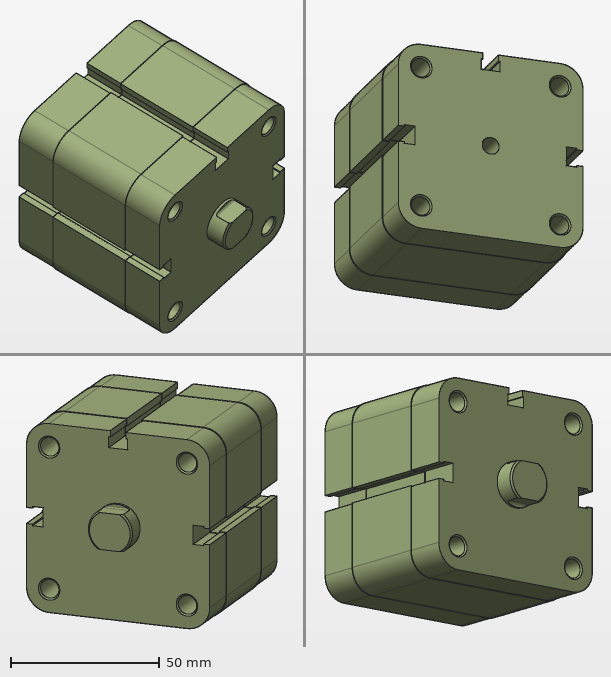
import cadquery as cq

CAP_LENGTH = 14.8
BARREL_LENGTH = 31.45
ROD_LENGTH = 7.5

BARREL_SIZE = 67.0
CORNER_RADIUS = 8.5
CAP_INSET = 0.225

SLOT_MOUTH_WIDTH = 5.2
SLOT_WIDTH = 6.3
SLOT_LIP_DEPTH = 2.7
SLOT_DEPTH = 6.0
SLOT_ANGLES = (0, 90, -90)

BOLT_SPACING = 50.0
BOLT_HOLE_DIAMETER = 6.65
BOLT_HOLE_CHAMFER = 0.55
PORT_DIAMETER = 6.0

ROD_DIAMETER = 16.0
ROD_CHAMFER = 0.6
FLAT_SPACING = 13.0
FLAT_START = 1.1
FLAT_ROOT_RADIUS = 0.5

BARREL_START = CAP_LENGTH
BARREL_END = BARREL_START + BARREL_LENGTH
CAP_END = BARREL_END + CAP_LENGTH


def t_slot(start, length, inset):
    """Cutter for the +Z T-slot; an inset moves each slot wall into the material."""
    mouth_half = SLOT_MOUTH_WIDTH / 2 + inset
    slot_half = SLOT_WIDTH / 2 + inset
    top = BARREL_SIZE / 2
    lip = top - SLOT_LIP_DEPTH + inset
    floor = top - SLOT_DEPTH - inset
    outline = [
        (-mouth_half, top),
        (-mouth_half, lip),
        (-slot_half, lip),
        (-slot_half, floor),
        (slot_half, floor),
        (slot_half, lip),
        (mouth_half, lip),
        (mouth_half, top),
    ]
    return cq.Workplane("YZ", origin=(start, 0, 0)).polyline(outline).close().extrude(length)


def slotted_section(start, length, inset=0.0):
    """Rounded square section with its T-slots and four through bolt holes."""
    side = BARREL_SIZE - 2 * inset
    body = cq.Workplane("YZ", origin=(start, 0, 0)).rect(side, side).extrude(length)
    body = body.edges("|X").fillet(CORNER_RADIUS - inset)
    cutter = t_slot(start, length, inset)
    for angle in SLOT_ANGLES:
        body = body.cut(cutter.rotate((0, 0, 0), (1, 0, 0), angle))
    holes = (
        cq.Workplane("YZ", origin=(start, 0, 0))
        .rect(BOLT_SPACING, BOLT_SPACING, forConstruction=True)
        .vertices()
        .circle(BOLT_HOLE_DIAMETER / 2)
        .extrude(length)
    )
    return body.cut(holes)


def chamfer_bolt_holes(cap, face):
    """Chamfer the bolt hole mouths, the smallest circles on an outer cap face."""
    mouths = cap.faces(face).edges("%CIRCLE").edges(cq.selectors.RadiusNthSelector(0))
    return mouths.chamfer(BOLT_HOLE_CHAMFER)


def make_rear_cap():
    """Rear end cap with a central port through it."""
    cap = chamfer_bolt_holes(slotted_section(0, CAP_LENGTH, CAP_INSET), "<X")
    port = cq.Workplane("YZ").circle(PORT_DIAMETER / 2).extrude(CAP_LENGTH)
    return cap.cut(port)


def make_barrel():
    """Barrel between the caps, standing slightly proud of them."""
    return slotted_section(BARREL_START, BARREL_LENGTH)


def make_front_cap():
    """Front end cap that the rod end stands on."""
    return chamfer_bolt_holes(slotted_section(BARREL_END, CAP_LENGTH, CAP_INSET), ">X")


def make_rod():
    """Chamfered round rod end with two wrench flats facing +Z and -Z."""
    rod = cq.Workplane("YZ", origin=(CAP_END, 0, 0)).circle(ROD_DIAMETER / 2).extrude(ROD_LENGTH)
    rod = rod.faces(">X").chamfer(ROD_CHAMFER)
    flat_start_x = CAP_END + FLAT_START
    flat_length = ROD_LENGTH - FLAT_START
    cutter = (
        cq.Workplane("YZ", origin=(flat_start_x, 0, FLAT_SPACING / 2 + ROD_DIAMETER / 2))
        .rect(ROD_DIAMETER, ROD_DIAMETER)
        .extrude(flat_length)
    )
    cutter = cutter.faces("<Z").edges("<X").fillet(FLAT_ROOT_RADIUS)
    return rod.cut(cutter).cut(cutter.mirror("XY"))


rear_cap = make_rear_cap()
barrel = make_barrel()
front_cap = make_front_cap()
rod = make_rod()

result = cq.Compound.makeCompound([rear_cap.val(), barrel.val(), front_cap.val(), rod.val()])